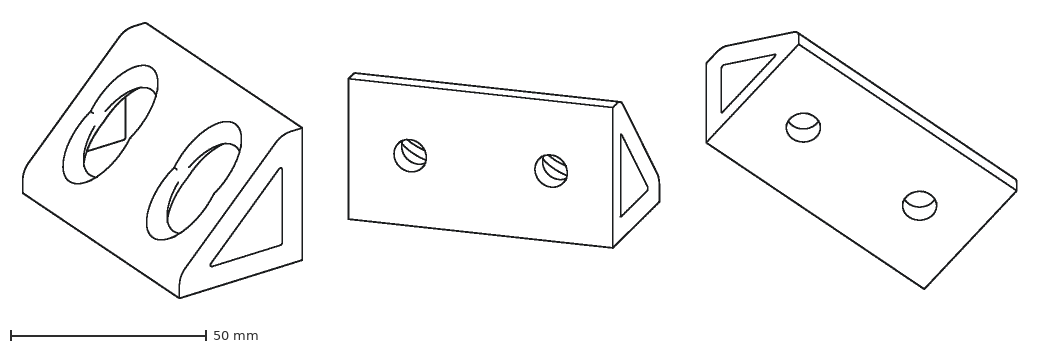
import cadquery as cq
import math

length = 71.4
leg = 38.1
wall = 6.3

land = 3.7
blend_radius = 6.4

tunnel_fillet = 0.6

hole_spacing = 38.05
hole_diameter = 8.7
access_diameter = 19.05

back = leg / 2
front = -leg / 2
bottom = -leg / 2
top = leg / 2

diagonal = math.sqrt(0.5)
blend_run = blend_radius * diagonal
blend_drop = blend_radius - blend_run
mid_run = blend_radius * math.sin(math.pi / 8)
mid_drop = blend_radius * (1 - math.cos(math.pi / 8))


def make_body():
    """Triangular prism with rounded ends on its sloping face."""
    profile = (
        cq.Workplane("YZ", origin=(-length / 2, 0, 0))
        .moveTo(back, bottom)
        .lineTo(front, bottom)
        .lineTo(front, bottom + land)
        .threePointArc(
            (front + mid_drop, bottom + land + mid_run),
            (front + blend_drop, bottom + land + blend_run),
        )
        .lineTo(back - land - blend_run, top - blend_drop)
        .threePointArc((back - land - mid_run, top - mid_drop), (back - land, top))
        .lineTo(back, top)
        .close()
    )
    return profile.extrude(length)


def make_tunnel():
    """Triangular cutter whose sides lie one wall inside the body."""
    outer_reach = leg - blend_drop + land + blend_run
    tunnel_leg = outer_reach - 2 * wall - wall / diagonal
    inner_y = back - wall
    inner_z = bottom + wall
    return (
        cq.Workplane("YZ", origin=(-length / 2, 0, 0))
        .moveTo(inner_y, inner_z)
        .lineTo(inner_y - tunnel_leg, inner_z)
        .lineTo(inner_y, inner_z + tunnel_leg)
        .close()
        .extrude(length)
        .edges("|X")
        .fillet(tunnel_fillet)
    )


def bore(diameter, plane, origin):
    """Cylinder long enough to reach past the slope."""
    return cq.Workplane(plane, origin=origin).circle(diameter / 2).extrude(leg)


def make_bolt_cutter(x):
    """Hole through each leg, with an access bore from the slope to its inner face."""
    back_hole = bore(hole_diameter, "XZ", (x, back, 0))
    back_access = bore(access_diameter, "XZ", (x, back - wall, 0))
    base_hole = bore(hole_diameter, "XY", (x, 0, bottom))
    base_access = bore(access_diameter, "XY", (x, 0, bottom + wall))
    return back_hole.union(back_access).union(base_hole).union(base_access)


result = make_body().cut(make_tunnel())
for hole_x in (-hole_spacing / 2, hole_spacing / 2):
    result = result.cut(make_bolt_cutter(hole_x))